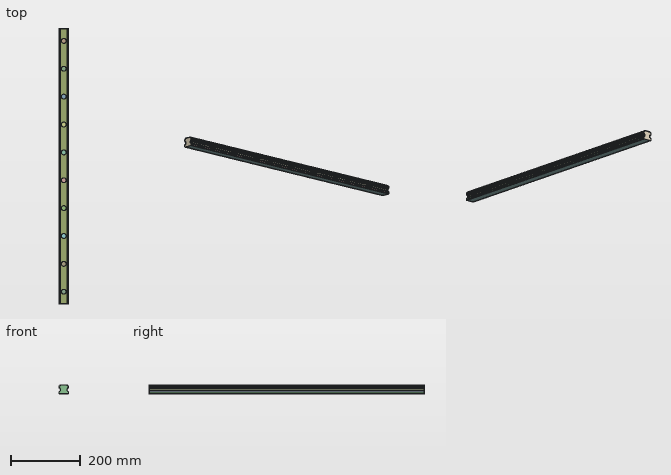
import cadquery as cq

rail_length = 790.0
rail_width = 28.0
rail_height = 26.0
half_width = rail_width / 2

top_half_width = 9.3
shoulder_half_width = 10.0
shoulder_height = 25.2
groove_half_width = 12.5
upper_groove_bottom = 22.7
side_top = 21.1
side_bottom = 17.9
lower_groove_top = 17.0
neck_half_width = 11.0
neck_height = 14.8
groove_depth = 0.8

waist_half_width = 9.4
waist_top = 13.3
waist_bottom = 9.6
base_side_top = 5.0
base_chamfer = 1.5

recess_count = 10
recess_pitch = 80.0
recess_diameter = 14.0
recess_depth = 0.5


def groove_middle(start, end):
    """Middle point of a ball groove arc, set inwards from the middle of its chord."""
    x = (start[0] + end[0]) / 2 - groove_depth
    z = (start[1] + end[1]) / 2
    return (x, z)


def half_rail():
    """Right half of the rail section, extruded along Y about mid-length."""
    shoulder = (shoulder_half_width, shoulder_height)
    upper_groove_end = (groove_half_width, upper_groove_bottom)
    lower_groove_start = (groove_half_width, lower_groove_top)
    neck = (neck_half_width, neck_height)
    section = (
        cq.Workplane("XZ")
        .moveTo(0, rail_height)
        .lineTo(top_half_width, rail_height)
        .lineTo(*shoulder)
        .threePointArc(groove_middle(shoulder, upper_groove_end), upper_groove_end)
        .lineTo(half_width, side_top)
        .lineTo(half_width, side_bottom)
        .lineTo(*lower_groove_start)
        .threePointArc(groove_middle(lower_groove_start, neck), neck)
        .lineTo(waist_half_width, waist_top)
        .lineTo(waist_half_width, waist_bottom)
        .lineTo(half_width, base_side_top)
        .lineTo(half_width, base_chamfer)
        .lineTo(half_width - base_chamfer, 0)
        .lineTo(0, 0)
        .close()
    )
    return section.extrude(rail_length / 2, both=True)


def rail_body():
    """Both halves of the rail, mirrored about the YZ plane."""
    right_half = half_rail()
    return right_half.union(right_half.mirror("YZ")).clean()


def cap_recesses():
    """Row of shallow round recesses in the top face, evenly spaced about mid-length."""
    return (
        cq.Workplane("XY", origin=(0, 0, rail_height))
        .rarray(1, recess_pitch, 1, recess_count)
        .circle(recess_diameter / 2)
        .extrude(-recess_depth)
    )


result = rail_body().cut(cap_recesses())